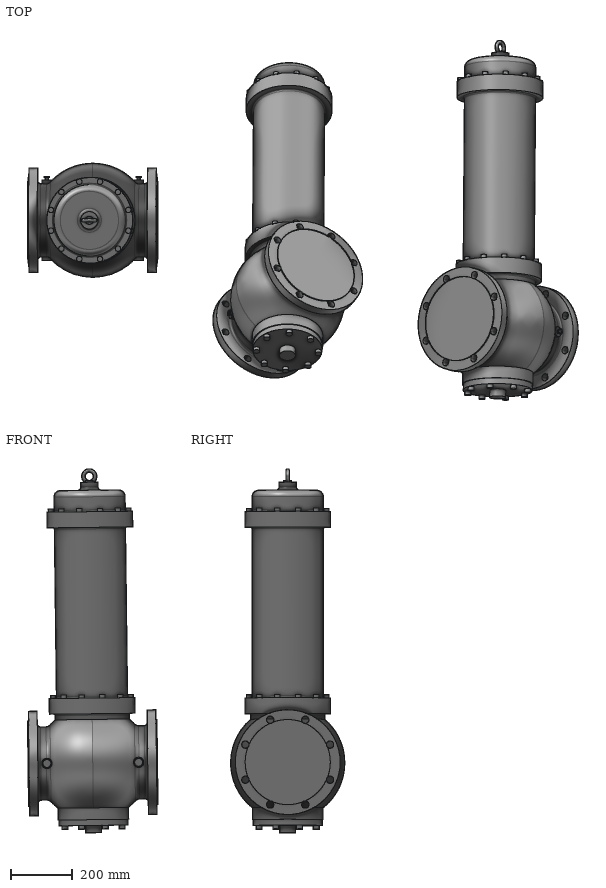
import cadquery as cq
import math

LEAN_ANGLE = 0.7

BALL_RADIUS = 185.0
TOP_NECK_RADIUS = 120.0
PIPE_NECK_RADIUS = 119.0
PIPE_BLEND_RADIUS = 18.0
BOTTOM_Z = -226.0
EYE_TOP_Z = BOTTOM_Z + 1179.0

FACE_X = 210.0
RAISED_FACE_HEIGHT = 4.0
RAISED_FACE_RADIUS = 138.0
PIPE_FLANGE_RADIUS = 170.0
PIPE_FLANGE_THICKNESS = 28.0
PIPE_FLANGE_FILLET = 10.0
PIPE_BOLT_CIRCLE = 149.0
PIPE_HOLE_RADIUS = 12.0
PIPE_HOLE_COUNT = 8

TUBE_RADIUS = 115.0
FLANGE_RADIUS = 139.0
LOWER_FLANGE_Z = 159.0
LOWER_FLANGE_HEIGHT = 51.0
UPPER_FLANGE_Z = 763.0
UPPER_FLANGE_HEIGHT = 51.0
FLANGE_ROOT_FILLET = 5.0
FLANGE_BOLT_CIRCLE = 130.0
FLANGE_BOLT_COUNT = 12
FLANGE_BOLT_RADIUS = 8.8
FLANGE_BOLT_HEIGHT = 11.0

DOME_TOP_Z = 883.0
DOME_FILLET = 21.0
EYE_BOSS_RADIUS = 28.0
EYE_BOSS_HEIGHT = 26.0
EYE_BOSS_FILLET = 11.0
EYE_COLLAR_RADIUS = 13.0
EYE_COLLAR_HEIGHT = 6.0
EYE_RING_RADIUS = 19.0
EYE_WIRE_RADIUS = 6.0

SKIRT_RADIUS = 114.0
COVER_RADIUS = 112.0
PLUG_RADIUS = 26.0
PLUG_HEIGHT = 24.0
COVER_HEIGHT = 19.0
COVER_BOLT_CIRCLE = 100.0
COVER_BOLT_COUNT = 8
COVER_BOLT_RADIUS = 10.0
COVER_BOLT_HEIGHT = 12.0

BOSS_X = 149.0
BOSS_RADIUS = 17.0
BOSS_END_Y = 131.0
BOSS_RECESS_RADIUS = 13.0
BOSS_RECESS_DEPTH = 1.0
STEM_RADIUS = 6.0
STEM_LENGTH = 7.0
KNOB_RADIUS = 8.8
KNOB_LENGTH = 4.0


def disc(radius, z, height):
    """Cylinder about the Z axis, standing on height z."""
    return cq.Workplane("XY").workplane(offset=z).circle(radius).extrude(height)


def bolt_heads(count, circle_radius, head_radius, z, height):
    """Ring of round bolt heads, with two heads straddling each main axis."""
    return (
        cq.Workplane("XY")
        .workplane(offset=z)
        .polarArray(circle_radius, 180.0 / count, 360, count)
        .circle(head_radius)
        .extrude(height)
    )


def body_half():
    """Half of the ball with its neck and drilled flange on the +X side, turned about the X axis."""
    flange_front = FACE_X - RAISED_FACE_HEIGHT
    flange_back = flange_front - PIPE_FLANGE_THICKNESS

    blend_centre_r = PIPE_NECK_RADIUS + PIPE_BLEND_RADIUS
    blend_centre_distance = BALL_RADIUS + PIPE_BLEND_RADIUS
    blend_centre_x = math.sqrt(blend_centre_distance**2 - blend_centre_r**2)
    ball_share = BALL_RADIUS / blend_centre_distance
    ball_tangent = (blend_centre_x * ball_share, blend_centre_r * ball_share)

    end = (
        cq.Workplane("XY")
        .moveTo(0, 0)
        .lineTo(0, BALL_RADIUS)
        .radiusArc(ball_tangent, BALL_RADIUS)
        .radiusArc((blend_centre_x, PIPE_NECK_RADIUS), -PIPE_BLEND_RADIUS)
        .lineTo(flange_back - PIPE_FLANGE_FILLET, PIPE_NECK_RADIUS)
        .radiusArc((flange_back, PIPE_NECK_RADIUS + PIPE_FLANGE_FILLET), -PIPE_FLANGE_FILLET)
        .lineTo(flange_back, PIPE_FLANGE_RADIUS)
        .lineTo(flange_front, PIPE_FLANGE_RADIUS)
        .lineTo(flange_front, RAISED_FACE_RADIUS)
        .lineTo(FACE_X, RAISED_FACE_RADIUS)
        .lineTo(FACE_X, 0)
        .close()
        .revolve(360, (0, 0, 0), (1, 0, 0))
    )
    holes = (
        cq.Workplane("YZ")
        .workplane(offset=flange_back)
        .polarArray(PIPE_BOLT_CIRCLE, 180.0 / PIPE_HOLE_COUNT, 360, PIPE_HOLE_COUNT)
        .circle(PIPE_HOLE_RADIUS)
        .extrude(FACE_X - flange_back)
    )
    return end.cut(holes)


def rod_along_y(radius, x, y_start, y_end):
    """Cylinder parallel to the Y axis at height zero."""
    return (
        cq.Workplane("XZ", origin=(x, y_start, 0))
        .circle(radius)
        .extrude(y_start - y_end)
    )


def side_bosses(x):
    """Boss through the neck at x, recessed at the front and plugged at the rear."""
    recess_floor = BOSS_RECESS_DEPTH - BOSS_END_Y
    stem_end = BOSS_END_Y + STEM_LENGTH
    boss = rod_along_y(BOSS_RADIUS, x, -BOSS_END_Y, BOSS_END_Y)
    recess = rod_along_y(BOSS_RECESS_RADIUS, x, -BOSS_END_Y, recess_floor)
    stem = rod_along_y(STEM_RADIUS, x, 0, stem_end)
    knob = rod_along_y(KNOB_RADIUS, x, stem_end, stem_end + KNOB_LENGTH)
    return boss.cut(recess).union(stem).union(knob)


def root_fillet(radius, z, direction):
    """Concave ring between a cylinder and a flange face at height z; direction is 1 up, -1 down."""
    tip_z = z + direction * FLANGE_ROOT_FILLET
    return (
        cq.Workplane("XZ")
        .moveTo(0, z)
        .lineTo(radius + FLANGE_ROOT_FILLET, z)
        .radiusArc((radius, tip_z), direction * FLANGE_ROOT_FILLET)
        .lineTo(0, tip_z)
        .close()
        .revolve(360, (0, 0, 0), (0, 1, 0))
    )


def bolted_flange(z, height, radius_below):
    """Tube flange with bolt heads on its upper face and fillets where the column leaves it."""
    top = z + height
    heads = bolt_heads(
        FLANGE_BOLT_COUNT, FLANGE_BOLT_CIRCLE, FLANGE_BOLT_RADIUS, top, FLANGE_BOLT_HEIGHT
    )
    flange = disc(FLANGE_RADIUS, z, height)
    flange = flange.union(root_fillet(TUBE_RADIUS, top, 1))
    flange = flange.union(root_fillet(radius_below, z, -1))
    return flange.union(heads)


def lifting_eye():
    """Flared boss, collar and upright ring on top of the dome."""
    boss_top = DOME_TOP_Z + EYE_BOSS_HEIGHT
    ring_z = EYE_TOP_Z - EYE_RING_RADIUS - EYE_WIRE_RADIUS
    collar_top = boss_top + EYE_COLLAR_HEIGHT
    boss = (
        cq.Workplane("XZ")
        .moveTo(0, DOME_TOP_Z)
        .lineTo(EYE_BOSS_RADIUS + EYE_BOSS_FILLET, DOME_TOP_Z)
        .radiusArc((EYE_BOSS_RADIUS, DOME_TOP_Z + EYE_BOSS_FILLET), EYE_BOSS_FILLET)
        .lineTo(EYE_BOSS_RADIUS, boss_top)
        .lineTo(EYE_COLLAR_RADIUS, boss_top)
        .lineTo(EYE_COLLAR_RADIUS, collar_top)
        .lineTo(0, collar_top)
        .close()
        .revolve(360, (0, 0, 0), (0, 1, 0))
    )
    ring = cq.Solid.makeTorus(
        EYE_RING_RADIUS, EYE_WIRE_RADIUS, cq.Vector(0, 0, ring_z), cq.Vector(0, 1, 0)
    )
    return boss.union(cq.Workplane(ring))


def column():
    """Body neck, tube, both flanges and the domed cap."""
    neck = disc(TOP_NECK_RADIUS, 0, LOWER_FLANGE_Z)
    tube = disc(TUBE_RADIUS, 0, DOME_TOP_Z).faces(">Z").edges().fillet(DOME_FILLET)
    lower_flange = bolted_flange(LOWER_FLANGE_Z, LOWER_FLANGE_HEIGHT, TOP_NECK_RADIUS)
    upper_flange = bolted_flange(UPPER_FLANGE_Z, UPPER_FLANGE_HEIGHT, TUBE_RADIUS)
    return neck.union(tube).union(lower_flange).union(upper_flange)


def bottom_cover():
    """Skirt below the ball, closed by a bolted cover with a drain plug."""
    cover_z = BOTTOM_Z + PLUG_HEIGHT
    skirt_z = cover_z + COVER_HEIGHT
    skirt = disc(SKIRT_RADIUS, skirt_z, -skirt_z)
    cover = disc(COVER_RADIUS, cover_z, COVER_HEIGHT)
    plug = disc(PLUG_RADIUS, BOTTOM_Z, PLUG_HEIGHT)
    heads = bolt_heads(
        COVER_BOLT_COUNT, COVER_BOLT_CIRCLE, COVER_BOLT_RADIUS,
        cover_z - COVER_BOLT_HEIGHT, COVER_BOLT_HEIGHT,
    )
    return skirt.union(cover).union(plug).union(heads)


valve = body_half().union(body_half().mirror("YZ"))
valve = valve.union(column()).union(lifting_eye()).union(bottom_cover())
for side in (-1, 1):
    valve = valve.union(side_bosses(side * BOSS_X))

result = valve.rotate((0, 0, 0), (0, 1, 0), -LEAN_ANGLE)